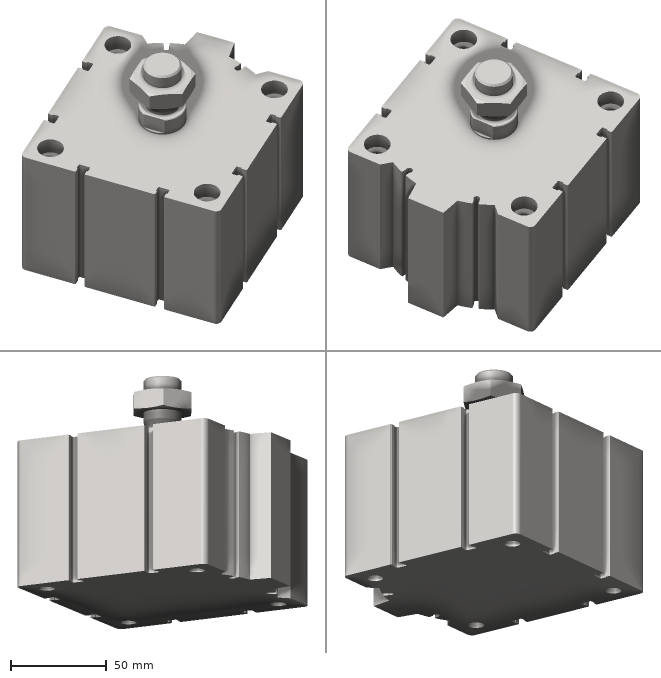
import cadquery as cq
import math

block_side = 113.0
overall_depth = 126.7
block_height = 78.0
corner_radius = 3.0

rail_top_y = overall_depth - block_side / 2
rail_top_width = 21.3
rail_base_width = 25.0
back_arc_radius = 60.0
notch_half_span = 35.7

groove_x = 20.4
groove_y = 52.3
groove_diameter = 3.5
groove_tilt = 15
groove_mouth_inner = 1.3
groove_lip_radius = 0.6
groove_mouth_length = 10.1

slot_offset = 22.5
slot_mouth_width = 5.1
slot_lip_radius = 0.3
slot_mouth_depth = 2.9
slot_inner_width = 6.5
slot_depth = 6.2
slot_corner_radius = 0.8

hole_spacing = 89.0
hole_diameter = 8.5
hole_entry_diameter = 10.0
counterbore_diameter = 14
counterbore_depth = 9.0

rod_height = 38
thread_diameter = 20.0
thread_chamfer = 1.0
thread_end_height = 15.2
neck_diameter = 17.9
neck_top_height = 12.2
neck_top_fillet = 1.3
neck_base_fillet = 0.5
shoulder_diameter = 25.0
shoulder_height = 10.0
shoulder_chamfer = 0.4
shoulder_flats_width = 22.0
flats_start_height = 1.0

hexagon_sides = 6
nut_across_flats = 30.0
nut_thickness = 10.0
nut_start_height = 20.0
nut_chamfer_angle = 15

pick_margin = 0.1


def vertical_edge(x, y):
    """Selector for the full-height edge of the housing at (x, y)."""
    return cq.selectors.BoxSelector(
        (x - pick_margin, y - pick_margin, 0),
        (x + pick_margin, y + pick_margin, block_height),
    )


def housing_blank():
    """Square block with the rail, the back arc and a notch on each side of it."""
    half = block_side / 2
    notch_offset = half - notch_half_span
    notch_x = (-notch_offset + math.sqrt(2 * back_arc_radius**2 - notch_offset**2)) / 2
    notch_y = notch_x + notch_offset
    base_x = rail_base_width / 2
    base_y = math.sqrt(back_arc_radius**2 - base_x**2)
    middle_x = (notch_x + base_x) / 2
    middle_y = math.sqrt(back_arc_radius**2 - middle_x**2)
    outline = (
        cq.Workplane("XY")
        .moveTo(-half, -half)
        .lineTo(half, -half)
        .lineTo(half, half)
        .lineTo(notch_half_span, half)
        .lineTo(notch_x, notch_y)
        .threePointArc((middle_x, middle_y), (base_x, base_y))
        .lineTo(rail_top_width / 2, rail_top_y)
        .lineTo(-rail_top_width / 2, rail_top_y)
        .lineTo(-base_x, base_y)
        .threePointArc((-middle_x, middle_y), (-notch_x, notch_y))
        .lineTo(-notch_half_span, half)
        .lineTo(-half, half)
        .close()
    )
    blank = outline.extrude(block_height)
    for x in (-half, half):
        for y in (-half, half):
            corner = vertical_edge(x, y)
            blank = blank.edges(corner).fillet(corner_radius)
    return blank


def t_slot():
    """T-slot cutter opening through the front (-Y) face at X = 0."""
    face_y = -block_side / 2
    half_mouth = slot_mouth_width / 2
    mouth = (
        cq.Workplane("XY")
        .moveTo(-half_mouth - slot_lip_radius, face_y)
        .radiusArc((-half_mouth, face_y + slot_lip_radius), slot_lip_radius)
        .lineTo(-half_mouth, face_y + slot_mouth_depth)
        .lineTo(half_mouth, face_y + slot_mouth_depth)
        .lineTo(half_mouth, face_y + slot_lip_radius)
        .radiusArc((half_mouth + slot_lip_radius, face_y), slot_lip_radius)
        .close()
        .extrude(block_height)
    )
    inner = (
        cq.Workplane("XY")
        .rect(slot_inner_width, slot_depth - slot_mouth_depth)
        .extrude(block_height)
        .edges("|Z and >Y")
        .fillet(slot_corner_radius)
        .translate((0, face_y + (slot_depth + slot_mouth_depth) / 2, 0))
    )
    return mouth.union(inner)


def sensor_groove():
    """Groove cutter on the -X side of the rail."""
    radius = groove_diameter / 2
    round_part = cq.Workplane("XY").circle(radius).extrude(block_height)
    mouth = (
        cq.Workplane("XY")
        .moveTo(-radius, 0)
        .lineTo(groove_mouth_inner, 0)
        .lineTo(groove_mouth_inner, groove_mouth_length)
        .lineTo(-radius, groove_mouth_length)
        .close()
        .extrude(block_height)
    )
    groove = round_part.union(mouth).rotate((0, 0, 0), (0, 0, 1), groove_tilt)
    return groove.translate((-groove_x, groove_y, 0))


def groove_lip():
    """X (as a positive distance) and Y where the outer groove wall meets the back arc."""
    tilt = math.radians(groove_tilt)
    radius = groove_diameter / 2
    start_x = groove_x + radius * math.cos(tilt)
    start_y = groove_y - radius * math.sin(tilt)
    along = start_x * math.sin(tilt) + start_y * math.cos(tilt)
    start_distance = math.hypot(start_x, start_y)
    length = math.sqrt(back_arc_radius**2 - start_distance**2 + along**2) - along
    return start_x + length * math.sin(tilt), start_y + length * math.cos(tilt)


def mounting_holes():
    """Cutters for the four through holes, each with a bevelled entry below its counterbore."""
    entry_depth = (hole_entry_diameter - hole_diameter) / 2
    floor = block_height - counterbore_depth
    profile = (
        cq.Workplane("XZ")
        .lineTo(hole_diameter / 2, 0)
        .lineTo(hole_diameter / 2, floor - entry_depth)
        .lineTo(hole_entry_diameter / 2, floor)
        .lineTo(counterbore_diameter / 2, floor)
        .lineTo(counterbore_diameter / 2, block_height)
        .lineTo(0, block_height)
        .close()
    )
    hole = profile.revolve(360, (0, 0, 0), (0, 1, 0))
    half_spacing = hole_spacing / 2
    places = [(x, y, 0) for x in (-half_spacing, half_spacing) for y in (-half_spacing, half_spacing)]
    return [hole.translate(place) for place in places]


def make_housing():
    housing = housing_blank()
    for hole in mounting_holes():
        housing = housing.cut(hole)
    for angle in (-90, 0, 90):
        for offset in (-slot_offset, slot_offset):
            slot = t_slot().translate((offset, 0, 0)).rotate((0, 0, 0), (0, 0, 1), angle)
            housing = housing.cut(slot)
    groove = sensor_groove()
    housing = housing.cut(groove).cut(groove.mirror("YZ"))
    lip_x, lip_y = groove_lip()
    for x in (-lip_x, lip_x):
        lip = vertical_edge(x, lip_y)
        housing = housing.edges(lip).fillet(groove_lip_radius)
    return housing


def make_rod():
    """Rod standing on the housing top, with two wrench flats on its shoulder."""
    thread_radius = thread_diameter / 2
    neck_radius = neck_diameter / 2
    shoulder_radius = shoulder_diameter / 2
    rod = (
        cq.Workplane("XZ")
        .lineTo(shoulder_radius, 0)
        .lineTo(shoulder_radius, shoulder_height - shoulder_chamfer)
        .lineTo(shoulder_radius - shoulder_chamfer, shoulder_height)
        .lineTo(neck_radius, shoulder_height)
        .lineTo(neck_radius, neck_top_height)
        .lineTo(thread_radius, thread_end_height)
        .lineTo(thread_radius, rod_height - thread_chamfer)
        .lineTo(thread_radius - thread_chamfer, rod_height)
        .lineTo(0, rod_height)
        .close()
        .revolve(360, (0, 0, 0), (0, 1, 0))
    )
    for height, fillet_radius in ((shoulder_height, neck_base_fillet), (neck_top_height, neck_top_fillet)):
        smallest_circle = cq.selectors.RadiusNthSelector(0)
        ring = cq.selectors.BoxSelector(
            (-thread_radius, -thread_radius, height - pick_margin),
            (thread_radius, thread_radius, height + pick_margin),
        )
        rod = rod.edges(ring).edges(smallest_circle).fillet(fillet_radius)
    flats_height = shoulder_height - flats_start_height
    flats = (
        cq.Workplane("XY")
        .rect(2 * shoulder_diameter, 2 * shoulder_diameter)
        .rect(2 * shoulder_diameter, shoulder_flats_width)
        .extrude(flats_height)
        .translate((0, 0, flats_start_height))
    )
    return rod.cut(flats).translate((0, 0, block_height))


def make_nut():
    """Nut with flats facing -X and +X and both ends chamfered."""
    flat_radius = nut_across_flats / 2
    half_face_angle = math.pi / hexagon_sides
    point_radius = flat_radius / math.cos(half_face_angle)
    chamfer_drop = (point_radius - flat_radius) * math.tan(math.radians(nut_chamfer_angle))
    hexagon = (
        cq.Workplane("XY")
        .polygon(hexagon_sides, 2 * point_radius)
        .extrude(nut_thickness)
        .rotate((0, 0, 0), (0, 0, 1), math.degrees(half_face_angle))
    )
    chamfer_envelope = (
        cq.Workplane("XZ")
        .lineTo(flat_radius, 0)
        .lineTo(point_radius, chamfer_drop)
        .lineTo(point_radius, nut_thickness - chamfer_drop)
        .lineTo(flat_radius, nut_thickness)
        .lineTo(0, nut_thickness)
        .close()
        .revolve(360, (0, 0, 0), (0, 1, 0))
    )
    bore = cq.Workplane("XY").circle(thread_diameter / 2).extrude(nut_thickness)
    nut = hexagon.intersect(chamfer_envelope).cut(bore)
    return nut.translate((0, 0, block_height + nut_start_height))


housing = make_housing()
rod = make_rod()
nut = make_nut()

result = cq.Compound.makeCompound([housing.solids().val(), rod.solids().val(), nut.solids().val()])